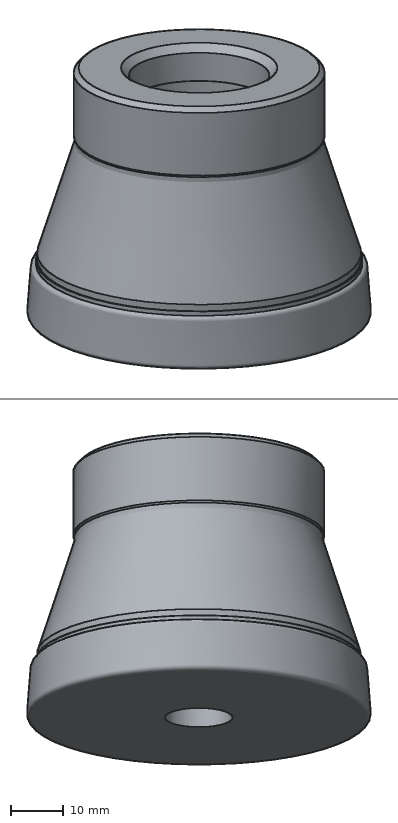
import cadquery as cq

total_height = 50.0
base_radius = 33.0
base_height = 10.4

base_top_radius = 32.25
base_round = 0.85
hole_radius = 6.45
hole_chamfer = 0.45

foot_radius = 31.3
foot_top = 11.3
band_radius = 31.1
band_top = 12.6
neck_radius = 23.9
neck_bottom = 34.95
neck_top = 35.95
collar_radius = 24.1
collar_bottom = 36.35
collar_chamfer = 1.0

bore_radius = 13.3
entry_radius = 13.45
entry_bottom = 42.8
mouth_chamfer = 1.5


def revolve_profile(points):
    """Turn a closed outline of (radius, height) points about the Z axis."""
    return cq.Workplane("XZ").polyline(points).close().revolve(360, (0, 0), (0, 1))


def make_base():
    taper = (base_radius - base_top_radius) / base_height
    rim_radius = base_radius + taper * base_round
    disc = revolve_profile([
        (0, 0),
        (rim_radius, 0),
        (base_top_radius, base_height),
        (0, base_height),
    ])
    disc = disc.edges("%CIRCLE").fillet(base_round)
    disc = disc.faces(">Z").workplane().hole(2 * hole_radius)
    return disc.faces(">Z").edges(cq.selectors.RadiusNthSelector(0)).chamfer(hole_chamfer)


def make_housing():
    return revolve_profile([
        (foot_radius, base_height),
        (foot_radius, foot_top),
        (band_radius, foot_top),
        (band_radius, band_top),
        (neck_radius, neck_bottom),
        (neck_radius, neck_top),
        (collar_radius, collar_bottom),
        (collar_radius, total_height - collar_chamfer),
        (collar_radius - collar_chamfer, total_height),
        (entry_radius + mouth_chamfer, total_height),
        (entry_radius, total_height - mouth_chamfer),
        (entry_radius, entry_bottom),
        (bore_radius, entry_bottom),
        (bore_radius, base_height),
    ])


base = make_base()
housing = make_housing()

result = cq.Compound.makeCompound([base.val(), housing.val()])